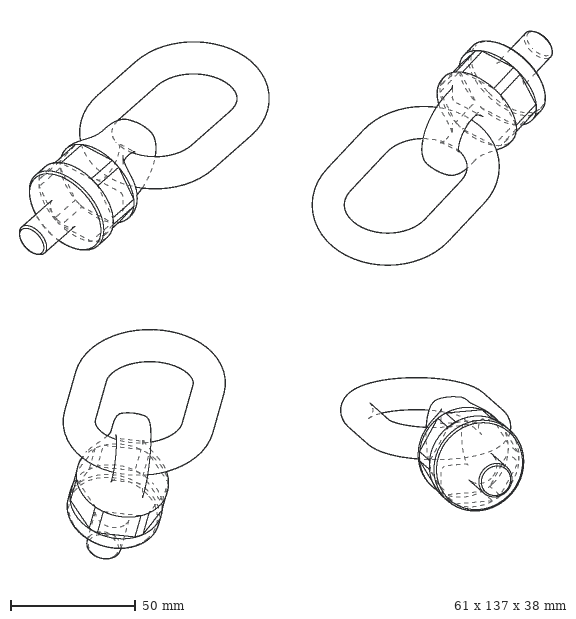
import cadquery as cq
import math


ring_width = 61.0
ring_wire = 13.0
ring_straight = 25.2
ring_bend = (ring_width - ring_wire) / 2

flange_dia = 38.0
flange_height = 7.1
flange_chamfer = 0.8
hex_flats = 34.2
hex_height = 13.8
turned_dia = 37.5
shank_dia = 14.0
shank_length = 22.0
shank_chamfer = 0.8
neck_fillet = 1.2

eye_thickness = 13.1
eye_foot_height = 4.0
eye_dome_height = 13.8
eye_hole_dia = 17.0
eye_hole_rise = 0.4
eye_edge_fillet = 2.7
eye_arm_fillet = 6.8

total_length = 137.0
ring_centre = total_length - shank_length - ring_width / 2 - ring_straight / 2
eye_seat = flange_height + hex_height
eye_foot_top = eye_seat + eye_foot_height
eye_hole_centre = eye_foot_top + eye_hole_dia / 2 + eye_hole_rise
eye_dome_centre = eye_seat + eye_dome_height


def plane_along_y(y):
    """Plane square to Y at height y, with its normal pointing to +Y."""
    return cq.Plane(origin=(0, y, 0), xDir=(1, 0, 0), normal=(0, 1, 0))


def nearest_to(x, y, z):
    """Selector for the face or edge whose centre lies nearest to a point."""
    return cq.selectors.NearestToPointSelector((x, y, z))


def make_ring():
    """Oval chain link: round wire swept along two straights and two half circles."""
    half = ring_straight / 2
    path = (
        cq.Workplane("XY", origin=(0, ring_centre, 0))
        .moveTo(ring_bend, -half)
        .lineTo(ring_bend, half)
        .threePointArc((0, half + ring_bend), (-ring_bend, half))
        .lineTo(-ring_bend, -half)
        .threePointArc((0, -half - ring_bend), (ring_bend, -half))
        .close()
    )
    wire_plane = plane_along_y(ring_centre - half)
    return (
        cq.Workplane(wire_plane)
        .center(ring_bend, 0)
        .circle(ring_wire / 2)
        .sweep(path)
    )


def make_bolt():
    """Flanged hexagon bolt with a plain shank; two hexagon flats face +Z and -Z."""
    flange = (
        cq.Workplane(plane_along_y(0))
        .circle(flange_dia / 2)
        .extrude(flange_height)
        .faces("<Y")
        .edges()
        .chamfer(flange_chamfer)
    )
    hex_corners = hex_flats / math.cos(math.radians(30))
    turned = cq.Workplane(plane_along_y(flange_height)).circle(turned_dia / 2).extrude(hex_height)
    hexagon = (
        cq.Workplane(plane_along_y(flange_height))
        .polygon(6, hex_corners)
        .extrude(hex_height)
        .intersect(turned)
    )
    shank = (
        cq.Workplane(plane_along_y(-shank_length))
        .circle(shank_dia / 2)
        .extrude(shank_length)
        .faces("<Y")
        .edges()
        .chamfer(shank_chamfer)
    )
    body = flange.union(hexagon).union(shank)
    neck_edge = body.faces(nearest_to(0, 0, 0)).edges(cq.selectors.RadiusNthSelector(0))
    return neck_edge.fillet(neck_fillet)


def make_eye():
    """Lifting eye: a round-ended turned blank, hollowed on both sides to a flat arm with a cross hole."""
    radius = turned_dia / 2
    diagonal = radius * math.sin(math.pi / 4)
    tip = eye_dome_centre + radius
    blank = (
        cq.Workplane("XY")
        .moveTo(0, eye_seat)
        .lineTo(radius, eye_seat)
        .lineTo(radius, eye_dome_centre)
        .threePointArc((diagonal, eye_dome_centre + diagonal), (0, tip))
        .close()
        .revolve(360, (0, 0, 0), (0, 1, 0))
    )
    side = eye_thickness / 2
    hollow = (
        cq.Workplane("XY", origin=(0, 0, -radius))
        .moveTo(side, tip)
        .lineTo(side, eye_foot_top + eye_arm_fillet)
        .radiusArc((side + eye_arm_fillet, eye_foot_top), -eye_arm_fillet)
        .lineTo(radius, eye_foot_top)
        .lineTo(radius, tip)
        .close()
        .extrude(2 * radius)
    )
    eye = blank.cut(hollow).cut(hollow.mirror("YZ"))
    for x in (-radius, radius):
        eye = eye.edges("%CIRCLE").edges(nearest_to(x, eye_foot_top, 0)).fillet(eye_edge_fillet)

    hole = (
        cq.Workplane("YZ", origin=(-radius, eye_hole_centre, 0))
        .circle(eye_hole_dia / 2)
        .extrude(2 * radius)
    )
    eye = eye.cut(hole)
    for x in (-side, side):
        eye = eye.edges(nearest_to(x, eye_hole_centre, 0)).fillet(eye_edge_fillet)
    return eye


ring = make_ring()
bolt = make_bolt()
eye = make_eye()

result = cq.Compound.makeCompound([ring.val(), bolt.solids().val(), eye.solids().val()])